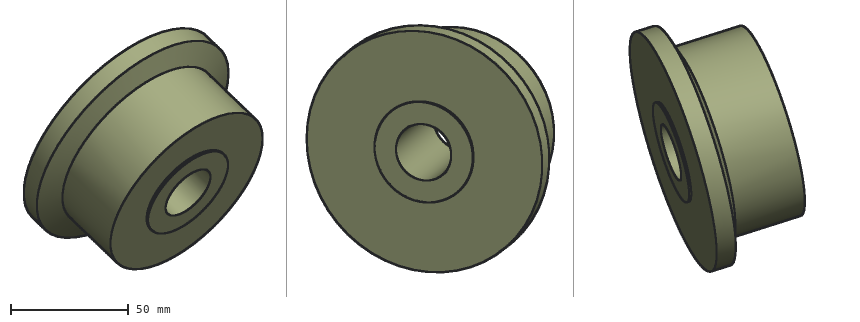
import cadquery as cq

flange_diameter = 107.0
tread_diameter = 85.0
hub_diameter = 44.6
bore_diameter = 25.0

overall_width = 46.0
hub_projection = 1.0
flange_width = 8.7
cone_width = 3.9

flange_start = hub_projection
cone_start = flange_start + flange_width
tread_start = cone_start + cone_width
tread_end = overall_width - hub_projection

flange_radius = flange_diameter / 2
tread_radius = tread_diameter / 2
hub_radius = hub_diameter / 2
bore_radius = bore_diameter / 2

half_section = [
    (0, bore_radius),
    (0, hub_radius),
    (flange_start, hub_radius),
    (flange_start, flange_radius),
    (cone_start, flange_radius),
    (tread_start, tread_radius),
    (tread_end, tread_radius),
    (tread_end, hub_radius),
    (overall_width, hub_radius),
    (overall_width, bore_radius),
]

result = (
    cq.Workplane("XY")
    .polyline(half_section)
    .close()
    .revolve(360, (0, 0, 0), (1, 0, 0))
)